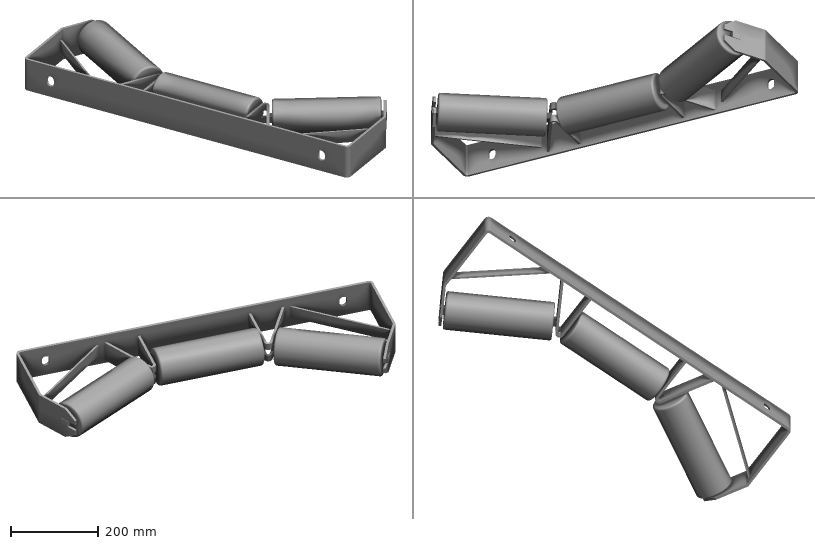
import cadquery as cq
import math

plate_thickness = 6.0
frame_bend_radius = 8.0
bracket_bend_radius = 7.0

trough_angle = 30.0
tilt_angle = 1.6

overall_length = 860.0
frame_height = 80.0
side_wall_depth = 172.0
wing_length = 110.0
tip_bevel_length = 30.0
tip_bevel_drop = 20.0
mount_hole_width = 18.0
mount_hole_height = 26.0
mount_hole_spacing = 717.0

leg_inner_spacing = 261.5
bracket_height = 50.0
fold_apex = 144.5

brace_thickness = 4.0
brace_height = 30.0
brace_wall_depth = 162.0
brace_back_offset = 234.0

roller_diameter = 89.0
roller_length = 250.0
roller_edge_radius = 5.0
shaft_depth = 19.0
shaft_width = 15.5
roller_end_gap = 6.0
shaft_length = roller_length + 2 * (roller_end_gap + plate_thickness)
roller_drop = 6.45
middle_roller_y = 99.0
side_roller_x = 273.0
side_roller_y = 174.0

half_length = overall_length / 2
wing_x = half_length - plate_thickness / 2
back_y = plate_thickness / 2
trough = math.radians(trough_angle)
side_roller_z = roller_length / 2 * math.sin(math.radians(tilt_angle)) - roller_drop
slot_rise = 52.0
slot_overrun = 9.0


def bent_bar(points, height, bend_radius):
    """Upright flat bar whose middle line follows the points, rounded at the bends."""
    path = cq.Wire.makePolygon([cq.Vector(x, y) for x, y in points])
    path = path.fillet2D(bend_radius, path.Vertices()[1:-1])
    (x0, y0), (x1, y1) = points[:2]
    section = cq.Plane(origin=(x0, y0, 0), xDir=(0, 0, 1), normal=(x1 - x0, y1 - y0, 0))
    return cq.Workplane(section).rect(height, plate_thickness).sweep(cq.Workplane(obj=path))


def place_middle(body):
    return body.translate((0, middle_roller_y, -roller_drop))


def place_side(body, side):
    """Move a body built along X to a side roller's place; side is -1 for left, 1 for right."""
    tilted = body.rotate((0, 0, 0), (0, 1, 0), -side * tilt_angle)
    turned = tilted.rotate((0, 0, 0), (0, 0, 1), side * trough_angle)
    return turned.translate((side * side_roller_x, side_roller_y, side_roller_z))


def make_roller():
    """Roller along X with a through shaft of rectangular section."""
    barrel = cq.Workplane("YZ").workplane(offset=-roller_length / 2)
    barrel = barrel.circle(roller_diameter / 2).extrude(roller_length)
    barrel = barrel.edges().fillet(roller_edge_radius)
    shaft = cq.Workplane("XY").box(shaft_length, shaft_depth, shaft_width)
    return barrel.union(shaft)


def make_shaft_slots():
    """Slots at both roller ends that seat the shaft and stay open toward +Y."""
    slots = cq.Workplane("XY").box(shaft_length + 2 * slot_overrun, shaft_depth + slot_rise, shaft_width)
    return slots.translate((0, slot_rise / 2, 0))


def wing_tip_corners(tip_x, tip_y, side):
    """Wedges that bevel the upper and lower corners of a wing tip."""
    half_height = frame_height / 2
    upper = (
        cq.Workplane("YZ")
        .polyline([(0, half_height), (-tip_bevel_length, half_height), (0, half_height - tip_bevel_drop)])
        .close()
        .extrude(plate_thickness, both=True)
    )
    corners = upper.union(upper.mirror("XY"))
    return corners.rotate((0, 0, 0), (0, 0, 1), side * trough_angle).translate((tip_x, tip_y, 0))


def make_frame():
    tip_x = wing_x - wing_length * math.sin(trough)
    tip_y = side_wall_depth + wing_length * math.cos(trough)
    right_half = [(wing_x, back_y), (wing_x, side_wall_depth), (tip_x, tip_y)]
    left_half = [(-x, y) for x, y in reversed(right_half)]
    frame = bent_bar(left_half + right_half, frame_height, frame_bend_radius)

    for side in (-1, 1):
        frame = frame.cut(wing_tip_corners(side * tip_x, tip_y, side))

    holes = (
        cq.Workplane("XZ")
        .pushPoints([(-mount_hole_spacing / 2, 0), (mount_hole_spacing / 2, 0)])
        .slot2D(mount_hole_height, mount_hole_width, 90)
        .extrude(-plate_thickness)
    )
    frame = frame.cut(holes)
    for side in (-1, 1):
        frame = frame.cut(place_side(make_shaft_slots(), side))
    return frame


def make_bracket(side):
    """Folded bracket with an upright leg and a sloping leg that stand on the back plate."""
    leg_x = leg_inner_spacing / 2 + plate_thickness / 2
    foot_x = leg_x + fold_apex * math.tan(trough)
    points = [(side * leg_x, 0), (side * leg_x, fold_apex), (side * foot_x, 0)]
    bracket = bent_bar(points, bracket_height, bracket_bend_radius)
    back_plate = cq.Workplane("XY").box(overall_length, 2 * plate_thickness, 2 * frame_height)
    bracket = bracket.translate((0, 0, -roller_drop)).cut(back_plate)
    bracket = bracket.cut(place_middle(make_shaft_slots()))
    return bracket.cut(place_side(make_shaft_slots(), side))


def make_brace(side):
    """Diagonal flat bar between the side wall and the back plate."""
    wall_x = half_length - plate_thickness
    run_x = wall_x - brace_back_offset
    run_y = brace_wall_depth - plate_thickness
    slope = math.degrees(math.atan2(run_y, run_x))
    bar = cq.Workplane("XY").box(2 * math.hypot(run_x, run_y), brace_thickness, brace_height)
    bar = bar.rotate((0, 0, 0), (0, 0, 1), side * slope)
    bar = bar.translate((side * (wall_x + brace_back_offset) / 2, plate_thickness + run_y / 2, 0))
    inside = cq.Workplane("XY").box(2 * wall_x, overall_length, frame_height)
    return bar.intersect(inside.translate((0, plate_thickness + overall_length / 2, 0)))


frame = make_frame()
brackets = [make_bracket(side) for side in (-1, 1)]
braces = [make_brace(side) for side in (-1, 1)]
middle_roller = place_middle(make_roller())
side_rollers = [place_side(make_roller(), side) for side in (-1, 1)]

bodies = [frame, *brackets, *braces, middle_roller, *side_rollers]
result = cq.Compound.makeCompound([body.val() for body in bodies])